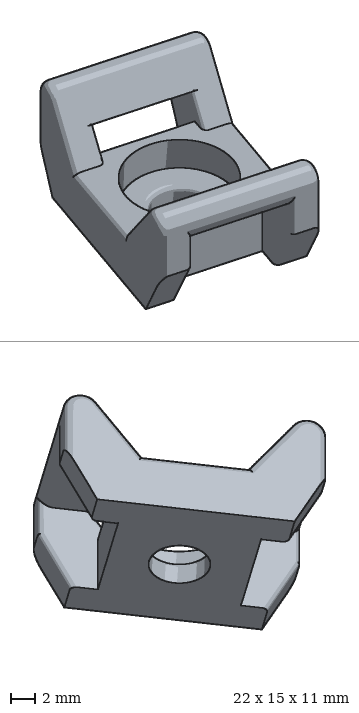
import cadquery as cq
import math

length = 22.0
width = 15.0
height = 11.0
half_length = length / 2
half_base = 8.3
floor_z = 5.2
half_floor = 4.47
tip_radius = 1.5
rim_fillet = 0.77

passage_width = 9.15
passage_fillet = 0.5
core_half_length = 6.0
roof_z = 7.96
roof_radius = 1.3

hole_diameter = 5.1
hole_fillet = 0.5
counterbore_diameter = 10.08
counterbore_depth = 3.0

tip_x = half_length - tip_radius
tip_z = height - tip_radius
run = tip_x - half_floor
rise = tip_z - floor_z
tangent_angle = math.atan2(-rise, -run) - math.acos(tip_radius / math.hypot(run, rise))


def tip_point(angle):
    return (tip_x + tip_radius * math.cos(angle), tip_z + tip_radius * math.sin(angle))


slope_top_x, slope_top_z = tip_point(tangent_angle)


def make_body():
    profile = (
        cq.Workplane("XZ", origin=(0, width / 2, 0))
        .moveTo(-half_base, 0)
        .lineTo(half_base, 0)
        .lineTo(half_length, floor_z)
        .lineTo(half_length, tip_z)
        .threePointArc((tip_x, height), (slope_top_x, slope_top_z))
        .lineTo(half_floor, floor_z)
        .lineTo(-half_floor, floor_z)
        .lineTo(-slope_top_x, slope_top_z)
        .threePointArc((-tip_x, height), (-half_length, tip_z))
        .lineTo(-half_length, floor_z)
        .close()
    )
    body = profile.extrude(width)
    upper_box = cq.selectors.BoxSelector(
        (-length, -width, floor_z - 0.22), (length, width, height + 0.22)
    )
    return body.faces("<Y or >Y").edges(upper_box).fillet(rim_fillet)


def slope_x(z):
    """X position of the inner slope of the +X upright at height z."""
    return half_floor + (z - floor_z) * (slope_top_x - half_floor) / (slope_top_z - floor_z)


def make_passage_post():
    """Solid beside the passage on the +Y side, rounded along its outer face, bevel and slope."""
    post = (
        cq.Workplane("XZ", origin=(0, width / 2, 0))
        .moveTo(slope_x(0), 0)
        .lineTo(half_base, 0)
        .lineTo(half_length, floor_z)
        .lineTo(half_length, height)
        .lineTo(slope_x(height), height)
        .close()
        .extrude((width - passage_width) / 2)
    )
    return post.faces("<Y").edges("not #Z").fillet(passage_fillet)


def make_passage():
    """Cutter for the +X upright, flared where it leaves the outer and inner faces."""
    roof_edge_x = half_length - roof_radius
    diagonal = roof_radius * math.sqrt(0.5)
    arc_middle = (roof_edge_x + diagonal, roof_z + roof_radius - diagonal)
    flared_width = passage_width + 2 * passage_fillet
    outline = (
        cq.Workplane("XZ", origin=(0, flared_width / 2, 0))
        .moveTo(core_half_length, 0)
        .lineTo(half_base, 0)
        .lineTo(half_length, floor_z)
        .lineTo(half_length, roof_z + roof_radius)
        .threePointArc(arc_middle, (roof_edge_x, roof_z))
        .lineTo(slope_x(roof_z), roof_z)
        .lineTo(half_floor, floor_z)
        .lineTo(core_half_length, floor_z)
        .close()
    )
    post = make_passage_post()
    return outline.extrude(flared_width).cut(post).cut(post.mirror("XZ"))


def bore_screw_hole(body):
    seat_z = floor_z - counterbore_depth
    counterbore = cq.Workplane(origin=(0, 0, seat_z)).circle(counterbore_diameter / 2).extrude(height)
    hole = cq.Workplane().circle(hole_diameter / 2).extrude(height)
    bored = body.cut(counterbore).cut(hole)
    lip = cq.selectors.BoxSelector(
        (-hole_diameter, -hole_diameter, seat_z - 0.22), (hole_diameter, hole_diameter, seat_z + 0.22)
    )
    return bored.edges(lip).edges(cq.selectors.RadiusNthSelector(0)).fillet(hole_fillet)


result = make_body()
passage = make_passage()
result = result.cut(passage).cut(passage.mirror("YZ"))
result = bore_screw_hole(result)